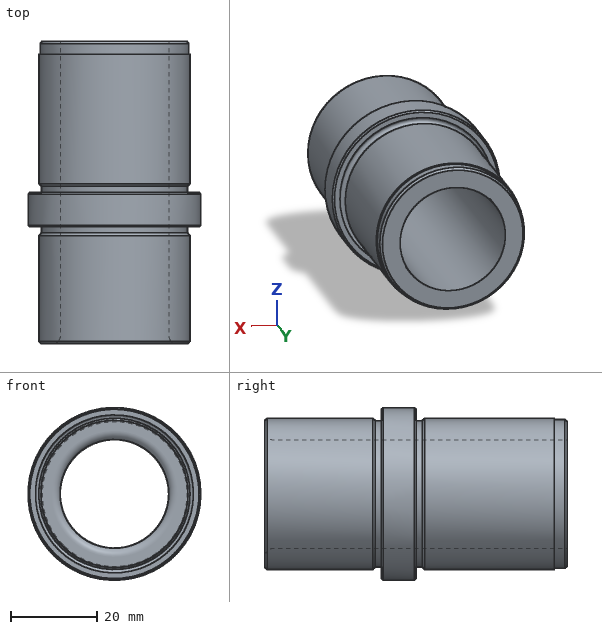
import cadquery as cq
import math

total_length = 70.0
body_radius = 17.5
bore_radius = 12.5
bore_mouth_radius = 2.0
end_chamfer_length = 0.6
end_chamfer_depth = 0.5

collar_diameter = 40.0
collar_radius = collar_diameter / 2
collar_start = 27.0
collar_width = 8.0
collar_end = collar_start + collar_width
collar_chamfer = 0.4

groove_width = 2.0
groove_depth = 0.55
groove_chamfer_length = 0.6
groove_flat = groove_width - groove_chamfer_length
groove_radius = body_radius - groove_depth

undercut_rim_radius = 18.3
undercut_arc_radius = 0.6
arc_45_offset = undercut_arc_radius * math.sin(math.radians(45))
arc_center_radius = groove_radius + undercut_arc_radius
cone_root_radius = arc_center_radius + arc_45_offset
cone_depth = undercut_rim_radius - cone_root_radius
arc_center_depth = cone_depth - arc_45_offset
arc_bottom_depth = arc_center_depth + undercut_arc_radius

lead_length = 3.0
lead_step = 0.3
lead_radius = body_radius - lead_step


def make_sleeve():
    """Revolve the half section, given as (radius, Y) points, about the Y axis."""
    mouth_edge = bore_radius + bore_mouth_radius
    section = (
        cq.Workplane("XY")
        .moveTo(mouth_edge, 0)
        .lineTo(body_radius - end_chamfer_depth, 0)
        .lineTo(body_radius, end_chamfer_length)
        .lineTo(body_radius, collar_start - groove_width)
        .lineTo(groove_radius, collar_start - groove_flat)
        .lineTo(groove_radius, collar_start + arc_center_depth)
        .threePointArc(
            (arc_center_radius, collar_start + arc_bottom_depth),
            (cone_root_radius, collar_start + cone_depth),
        )
        .lineTo(undercut_rim_radius, collar_start)
        .lineTo(collar_radius - collar_chamfer, collar_start)
        .lineTo(collar_radius, collar_start + collar_chamfer)
        .lineTo(collar_radius, collar_end - collar_chamfer)
        .lineTo(collar_radius - collar_chamfer, collar_end)
        .lineTo(undercut_rim_radius, collar_end)
        .lineTo(cone_root_radius, collar_end - cone_depth)
        .threePointArc(
            (arc_center_radius, collar_end - arc_bottom_depth),
            (groove_radius, collar_end - arc_center_depth),
        )
        .lineTo(groove_radius, collar_end + groove_flat)
        .lineTo(body_radius, collar_end + groove_width)
        .lineTo(body_radius, total_length - lead_length)
        .lineTo(lead_radius, total_length - lead_length)
        .lineTo(lead_radius, total_length - end_chamfer_length)
        .lineTo(lead_radius - end_chamfer_depth, total_length)
        .lineTo(bore_radius, total_length)
        .lineTo(bore_radius, bore_mouth_radius)
        .radiusArc((mouth_edge, 0), -bore_mouth_radius)
        .close()
    )
    return section.revolve(360, (0, 0, 0), (0, 1, 0))


result = make_sleeve()